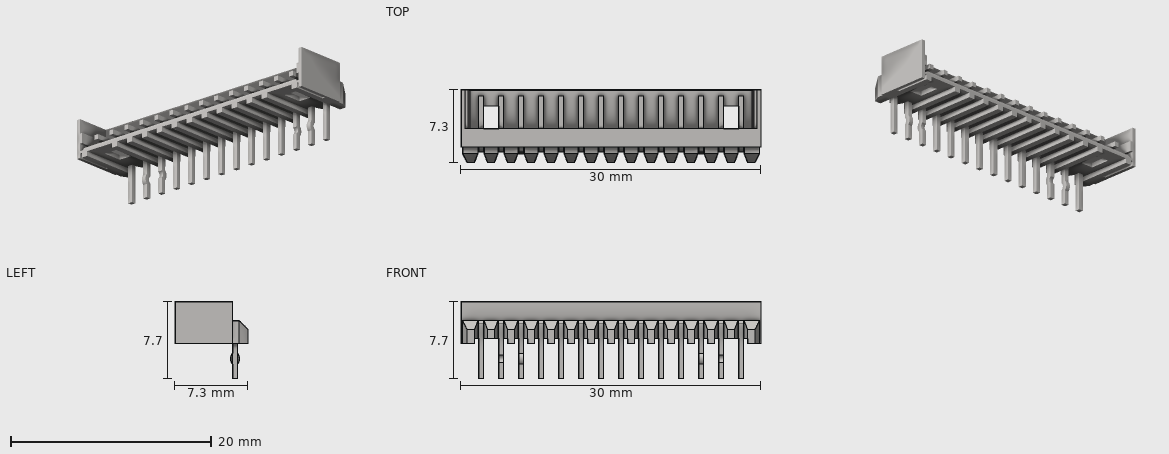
import cadquery as cq


pin_count = 14
pitch = 2.0
pin_size = 0.5
length = (pin_count + 1) * pitch
half_length = length / 2

housing_depth = 5.75
housing_height = 4.2
end_wall = 0.4
front_wall = 1.85
rail_width = 0.3
rail_bottom = 1.55
rail_top = 2.65

floor_bottom = 0.5
floor_mid = 0.75
floor_top = 1.0
pad_inset = 0.7
pad_side_bevel = 0.2
pad_back_bevel = 0.1
window_width = pitch - pin_size
window_back = 1.65

ledge_height = 2.3
tooth_shoulder = 6.4
tooth_tip = 7.3
tooth_nose_height = ledge_height - (tooth_tip - tooth_shoulder)
tooth_half_width = 0.7
nose_half_width = 0.35
end_tooth_outset = 0.15
end_nose_outset = 0.05

pin_back = 0.65
pin_front = housing_depth + pin_size
pin_bottom = -3.5
pin_bend_radius = 0.3
kink_center = -1.52
kink_depth = 0.2
kink_outer_half = 0.54
kink_inner_half = 0.365

tooth_positions = [(i - pin_count / 2) * pitch for i in range(pin_count + 1)]
pin_positions = [(i - (pin_count - 1) / 2) * pitch for i in range(pin_count)]
window_positions = [tooth_positions[1], tooth_positions[-2]]
back_kinked_pins = [1, pin_count - 2]
front_kinked_pins = [2, pin_count - 3]


def block(x_range, depth_range, z_range):
    """Axis-aligned box; depth is measured from the back edge toward -Y."""
    x0, x1 = x_range
    d0, d1 = depth_range
    z0, z1 = z_range
    return cq.Workplane("XY").box(x1 - x0, d1 - d0, z1 - z0, centered=False).translate((x0, -d1, z0))


def make_floor():
    """Floor slab with a raised pad bevelled at its back and both ends."""
    slab = block((-half_length, half_length), (0, housing_depth), (floor_bottom, floor_mid))
    pad_half = half_length - pad_inset
    front = -housing_depth
    side_profile = [
        (-pad_half, floor_mid),
        (pad_half, floor_mid),
        (pad_half - pad_side_bevel, floor_top),
        (-pad_half + pad_side_bevel, floor_top),
    ]
    back_profile = [
        (front, floor_mid),
        (0, floor_mid),
        (-pad_back_bevel, floor_top),
        (front, floor_top),
    ]
    pad = cq.Workplane("XZ").polyline(side_profile).close().extrude(housing_depth)
    back_limit = cq.Workplane("YZ").polyline(back_profile).close().extrude(half_length, both=True)
    return slab.union(pad.intersect(back_limit))


def make_housing():
    """Floor, front wall, and the two end walls with a rail inside each."""
    span = (-half_length, half_length)
    housing = make_floor()
    housing = housing.union(
        block(span, (housing_depth - front_wall, housing_depth), (floor_bottom, housing_height))
    )
    for side in (-1, 1):
        outer = side * half_length
        wall_inner = outer - side * end_wall
        rail_inner = wall_inner - side * rail_width
        wall = block(sorted((outer, wall_inner)), (0, housing_depth), (0, housing_height))
        rail = block(sorted((outer, rail_inner)), (0, housing_depth), (rail_bottom, rail_top))
        housing = housing.union(wall).union(rail)
    for x in window_positions:
        window = block(
            (x - window_width / 2, x + window_width / 2),
            (window_back, housing_depth - front_wall),
            (floor_bottom, floor_top),
        )
        housing = housing.cut(window)
    return housing


def make_tooth(x):
    """Tapered tooth with a sloped top; all but those at a window have a foot running back."""
    base_left = base_right = tooth_half_width
    nose_left = nose_right = nose_half_width
    foot_left = foot_right = nose_half_width
    if x == tooth_positions[0]:
        base_left += end_tooth_outset
        nose_left += end_nose_outset
        foot_left = base_left
    if x == tooth_positions[-1]:
        base_right += end_tooth_outset
        nose_right += end_nose_outset
        foot_right = base_right

    plan = [
        (x - base_left, -housing_depth + front_wall),
        (x - base_left, -tooth_shoulder),
        (x - nose_left, -tooth_tip),
        (x + nose_right, -tooth_tip),
        (x + base_right, -tooth_shoulder),
        (x + base_right, -housing_depth + front_wall),
    ]
    prism = cq.Workplane("XY").polyline(plan).close().extrude(ledge_height)
    profile = [
        (-housing_depth + front_wall, 0),
        (-tooth_tip, 0),
        (-tooth_tip, tooth_nose_height),
        (-tooth_shoulder, ledge_height),
        (-housing_depth + front_wall, ledge_height),
    ]
    side_limit = cq.Workplane("YZ").polyline(profile).close().extrude(half_length + pitch, both=True)
    tooth = prism.intersect(side_limit)

    reach = (0, tooth_tip)
    under = (0, floor_bottom)
    if x in window_positions:
        return tooth.cut(block((x - pitch, x + pitch), reach, under))
    tooth = tooth.cut(block((x - pitch, x - foot_left), reach, under))
    tooth = tooth.cut(block((x + foot_right, x + pitch), reach, under))
    foot = block((x - nose_half_width, x + nose_half_width), (0, housing_depth), under)
    return tooth.union(foot)


def make_pin(x, kink):
    """Right-angle pin; kink is +1 for a bow to the back, -1 to the front, 0 for a straight leg."""
    outer_y = -pin_front
    inner_y = -pin_front + pin_size
    contact_bottom = ledge_height - pin_size
    bend_z = ledge_height - pin_bend_radius
    front_half = kink_inner_half if kink > 0 else kink_outer_half
    back_half = kink_outer_half if kink > 0 else kink_inner_half
    bow = kink * kink_depth

    outline = cq.Workplane("YZ").moveTo(-pin_back, contact_bottom).lineTo(-pin_back, ledge_height)
    outline = outline.lineTo(outer_y + pin_bend_radius, ledge_height)
    outline = outline.radiusArc((outer_y, bend_z), -pin_bend_radius)
    if kink:
        outline = outline.lineTo(outer_y, kink_center + front_half)
        outline = outline.threePointArc((outer_y + bow, kink_center), (outer_y, kink_center - front_half))
    outline = outline.lineTo(outer_y, pin_bottom).lineTo(inner_y, pin_bottom)
    if kink:
        outline = outline.lineTo(inner_y, kink_center - back_half)
        outline = outline.threePointArc((inner_y + bow, kink_center), (inner_y, kink_center + back_half))
    outline = outline.lineTo(inner_y, contact_bottom).close()
    return outline.extrude(pin_size / 2, both=True).translate((x, 0, 0))


result = make_housing()
for tooth_x in tooth_positions:
    result = result.union(make_tooth(tooth_x))
for index, pin_x in enumerate(pin_positions):
    kink_direction = (index in back_kinked_pins) - (index in front_kinked_pins)
    result = result.union(make_pin(pin_x, kink_direction))